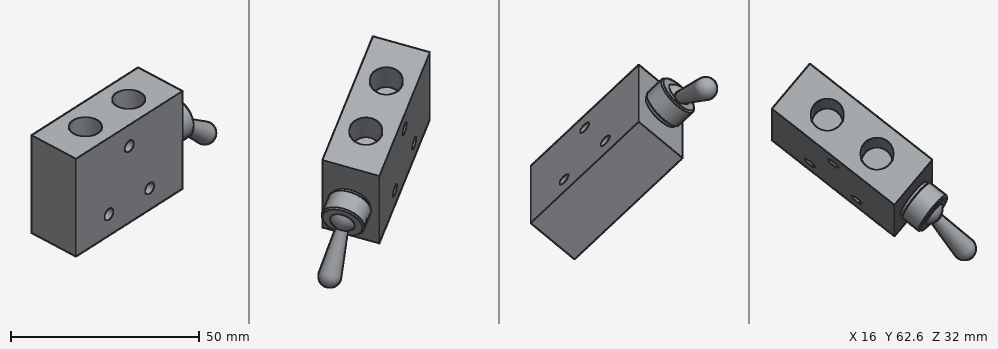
import cadquery as cq
import math

body_width = 16.0
body_length = 42.0
body_height = 32.0
mid_y = body_length / 2
mid_z = body_height / 2

mount_diameter = 3.5
mount_spacing = 16.0
mount_lower_z = 7.0
mount_upper_z = 25.0

port_diameter = 8.8
port_bottom_diameter = 8.25
port_depth = 9.0
port_spacing = 17.0

neck_diameter = 11.0
neck_length = 1.0
collar_diameter = 12.0
collar_length = 6.0
collar_chamfer = 0.45
collar_start_y = body_length + neck_length
collar_end_y = collar_start_y + collar_length
pin_hole_diameter = 1.5
pin_hole_depth = 1.5
pin_hole_y = 46.55

lever_tip_y = 62.6
ball_radius = 4.25
ball_y = pin_hole_y
lever_angle = 40.0
knob_radius = 3.1
knob_y = lever_tip_y - knob_radius
stem_root_radius = 1.75
stem_overlap = 0.3
lever_length = (knob_y - ball_y) / math.cos(math.radians(lever_angle))


def cylinder_along_y(start_y, length, diameter):
    """Cylinder on the lever-end axis, growing toward +Y."""
    plane = cq.Plane(origin=(0, start_y, mid_z), xDir=(1, 0, 0), normal=(0, 1, 0))
    return cq.Workplane(plane).circle(diameter / 2).extrude(length)


def make_body():
    body = cq.Workplane("XY").box(body_width, body_length, body_height).translate((0, mid_y, mid_z))
    mount_points = [
        (mid_y, mount_upper_z),
        (mid_y - mount_spacing / 2, mount_lower_z),
        (mid_y + mount_spacing / 2, mount_lower_z),
    ]
    mount_holes = (
        cq.Workplane("YZ")
        .pushPoints(mount_points)
        .circle(mount_diameter / 2)
        .extrude(body_width / 2, both=True)
    )
    body = body.cut(mount_holes)
    for side in (-1, 1):
        port = cq.Solid.makeCone(
            port_diameter / 2,
            port_bottom_diameter / 2,
            port_depth,
            cq.Vector(0, mid_y + side * port_spacing / 2, body_height),
            cq.Vector(0, 0, -1),
        )
        body = body.cut(cq.Workplane(port))
    return body


def make_collar():
    neck = cylinder_along_y(body_length, neck_length, neck_diameter)
    collar = cylinder_along_y(collar_start_y, collar_length, collar_diameter)
    collar = collar.faces(">Y").chamfer(collar_chamfer)
    pin_hole = (
        cq.Workplane("YZ", origin=(-collar_diameter / 2, 0, 0))
        .center(pin_hole_y, mid_z)
        .circle(pin_hole_diameter / 2)
        .extrude(pin_hole_depth)
    )
    return neck.union(collar.cut(pin_hole))


def make_lever():
    """Revolve the stem and tangent knob, then add the exposed part of the ball."""
    taper = math.asin((knob_radius - stem_root_radius) / (lever_length - ball_radius))
    seam_radius = knob_radius * math.cos(taper)
    seam_distance = lever_length - knob_radius * math.sin(taper)
    root_distance = ball_radius - stem_overlap
    angle = math.radians(lever_angle)
    lever_plane = cq.Plane(
        origin=(0, ball_y, mid_z),
        xDir=(1, 0, 0),
        normal=(0, math.sin(angle), math.cos(angle)),
    )
    stem = (
        cq.Workplane(lever_plane)
        .moveTo(0, lever_length + knob_radius)
        .threePointArc(
            (knob_radius * math.sqrt(0.5), lever_length + knob_radius * math.sqrt(0.5)),
            (seam_radius, seam_distance),
        )
        .lineTo(stem_root_radius, root_distance)
        .lineTo(0, root_distance)
        .close()
        .revolve(360, (0, 0), (0, 1))
    )
    ball = cq.Workplane("XY").sphere(ball_radius).translate((0, ball_y, mid_z))
    ball_cap = ball.intersect(cylinder_along_y(collar_end_y, ball_radius, collar_diameter))
    return stem.union(ball_cap)


result = make_body().union(make_collar()).union(make_lever())